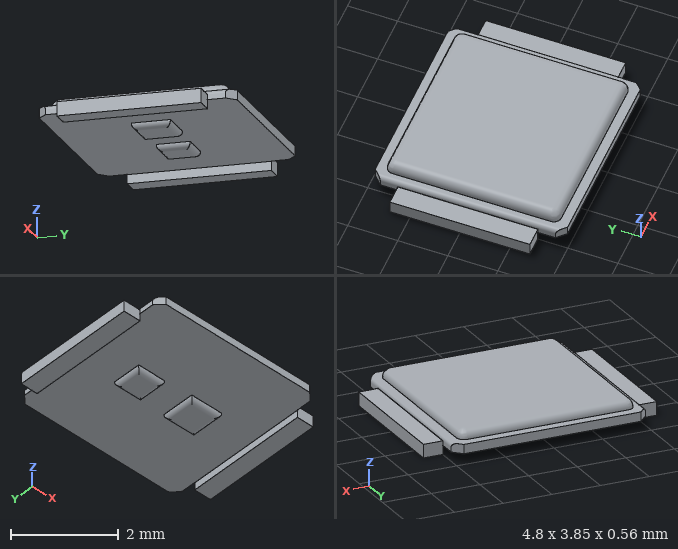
import cadquery as cq

overall_length = 4.8
overall_width = 3.85
overall_height = 0.56

lead_length = 0.405
lead_width = 2.805
lead_height = 0.28

plate_length = overall_length - 2 * lead_length
plate_bottom = 0.18
plate_thickness = 0.19
plate_top = plate_bottom + plate_thickness
plate_corner_chamfer = 0.18
plate_edge_radius = 0.095

lid_margin = 0.19
lid_length = plate_length - 2 * lid_margin
lid_width = overall_width - 2 * lid_margin
lid_height = overall_height - plate_top
lid_corner_radius = 0.15
lid_edge_radius = 0.18

contact_pads = [(-0.7, 0.66), (0.65, 0.76)]
pad_height = 0.125
pad_edge_radius = 0.115


def block(length, width, height, bottom, center_x=0):
    """Box centred on Y = 0 and standing on the given bottom level."""
    return (
        cq.Workplane("XY", origin=(center_x, 0, bottom))
        .box(length, width, height, centered=(True, True, False))
    )


def make_plate():
    plate = block(plate_length, overall_width, plate_thickness, plate_bottom)
    long_edges_rounded = plate.faces(">Z").edges("|Y").fillet(plate_edge_radius)
    chamfered_block = (
        block(plate_length, overall_width, plate_thickness, plate_bottom)
        .edges("|Z")
        .chamfer(plate_corner_chamfer)
    )
    return long_edges_rounded.intersect(chamfered_block)


def make_lid():
    lid = block(lid_length, lid_width, lid_height, plate_top)
    return lid.edges("|Z").fillet(lid_corner_radius).faces(">Z").edges().fillet(lid_edge_radius)


def make_lead(side):
    center_x = side * (overall_length - lead_length) / 2
    return block(lead_length, lead_width, lead_height, 0, center_x)


def make_pad(center_x, size):
    pad = block(size, size, pad_height, plate_bottom - pad_height, center_x)
    return pad.faces("<Z").edges().fillet(pad_edge_radius)


result = make_plate().union(make_lid())
for side in (-1, 1):
    result = result.union(make_lead(side))
for center_x, size in contact_pads:
    result = result.union(make_pad(center_x, size))